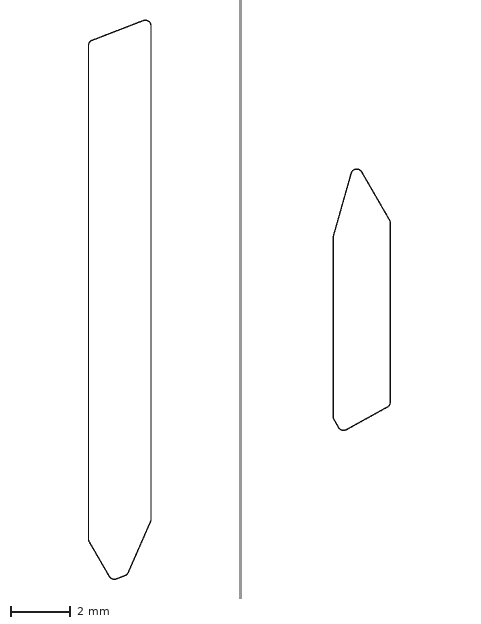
import cadquery as cq
import math

width = 2.0
depth = 2.31
length = 29.3

edge_radius = 0.2

tip_loss = edge_radius * math.sqrt(2)
sharp_depth = depth + tip_loss
right_depth = sharp_depth - width

bar = (
    cq.Workplane("XY")
    .polyline([(0, 0), (width, 0), (width, right_depth), (0, sharp_depth)])
    .close()
    .extrude(length)
)

result = bar.edges().fillet(edge_radius)